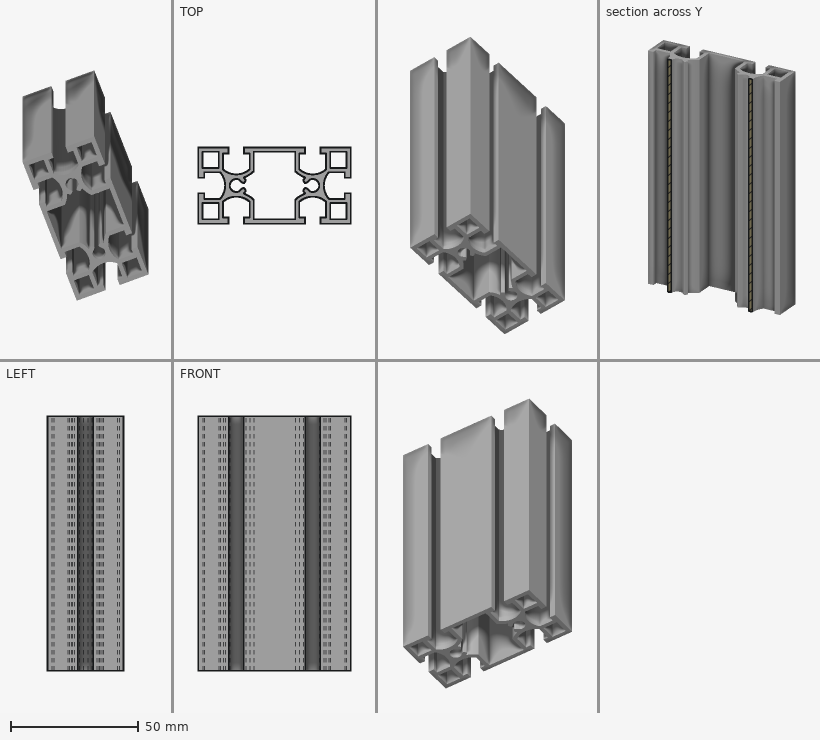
import cadquery as cq
import math

width = 60.0
depth = 30.0
length = 100.0
wall = 1.7
outer_wall = 1.8

mouth_width = 6.0
lip_thickness = 2.5
cavity_half_width = 5.2
cavity_floor = 4.4
floor_radius = 7.9

core_x = (width - depth) / 2
half_depth = depth / 2
core_radius = 2.5
finger_root_angle = 64.0
notch_x = 3.9
notch_corner = (3.0, 3.1)
tip_corners = [(3.9, 2.0), (2.9, 0.8)]
finger_base = (2.2, 1.2)
finger_points = [notch_corner, *tip_corners, finger_base]
finger_rounding = 0.3

arc_center = cavity_floor + floor_radius
chamber_radius = floor_radius + wall
chamber_half_width = cavity_half_width + wall


def arc_height(radius, offset):
    """Distance from the core centre to an arc, at a sideways offset."""
    return arc_center - math.sqrt(radius**2 - offset**2)


def make_slot(angle):
    """T-slot cutter around a core at the origin, turned to face the given angle."""
    shoulder = arc_height(floor_radius, cavity_half_width)
    cavity_top = half_depth - lip_thickness
    mouth = mouth_width / 2
    return (
        cq.Workplane("XY")
        .moveTo(-cavity_half_width, shoulder)
        .threePointArc((0, cavity_floor), (cavity_half_width, shoulder))
        .lineTo(cavity_half_width, cavity_top)
        .lineTo(mouth, cavity_top)
        .lineTo(mouth, half_depth)
        .lineTo(-mouth, half_depth)
        .lineTo(-mouth, cavity_top)
        .lineTo(-cavity_half_width, cavity_top)
        .close()
        .extrude(length)
        .rotate((0, 0, 0), (0, 0, 1), angle)
    )


def make_corner_hollows():
    """Square hollows in both outer corners beside a core at the origin."""
    near = cavity_half_width + wall
    far = half_depth - outer_wall
    size = far - near
    middle = (near + far) / 2
    centers = [(-middle, -middle), (-middle, middle)]
    return cq.Workplane("XY").pushPoints(centers).rect(size, size).extrude(length)


def make_chamber():
    """Left half of the central chamber together with the screw channel opening into it."""
    top = half_depth - outer_wall
    bend_y = arc_height(chamber_radius, chamber_half_width)
    notch_y = arc_height(chamber_radius, notch_x)
    middle_x = (chamber_half_width + notch_x) / 2
    middle_y = arc_height(chamber_radius, middle_x)
    root = math.radians(finger_root_angle)
    root_x = core_radius * math.cos(root)
    root_y = core_radius * math.sin(root)

    outline = (
        cq.Workplane("XY")
        .moveTo(core_x, top)
        .lineTo(chamber_half_width, top)
        .lineTo(chamber_half_width, bend_y)
        .threePointArc((middle_x, middle_y), (notch_x, notch_y))
    )
    for x, y in finger_points:
        outline = outline.lineTo(x, y)

    outline = outline.lineTo(root_x, root_y).threePointArc((-core_radius, 0), (root_x, -root_y))
    for x, y in reversed(finger_points):
        outline = outline.lineTo(x, -y)
    chamber = (
        outline.lineTo(notch_x, -notch_y)
        .threePointArc((middle_x, -middle_y), (chamber_half_width, -bend_y))
        .lineTo(chamber_half_width, -top)
        .lineTo(core_x, -top)
        .close()
        .extrude(length)
    )

    for x, y in [*tip_corners, (root_x, root_y)]:
        for side in (1, -1):
            corner = cq.selectors.NearestToPointSelector((x, side * y, length / 2))
            chamber = chamber.edges("|Z").edges(corner).fillet(finger_rounding)
    return chamber


core_cutters = [make_slot(angle) for angle in (0, 90, 180)]
core_cutters += [make_corner_hollows(), make_chamber()]

result = cq.Workplane("XY").box(width, depth, length, centered=(True, True, False))
for cutter in core_cutters:
    left_cutter = cutter.translate((-core_x, 0, 0))
    right_cutter = left_cutter.rotate((0, 0, 0), (0, 0, 1), 180)
    result = result.cut(left_cutter).cut(right_cutter)